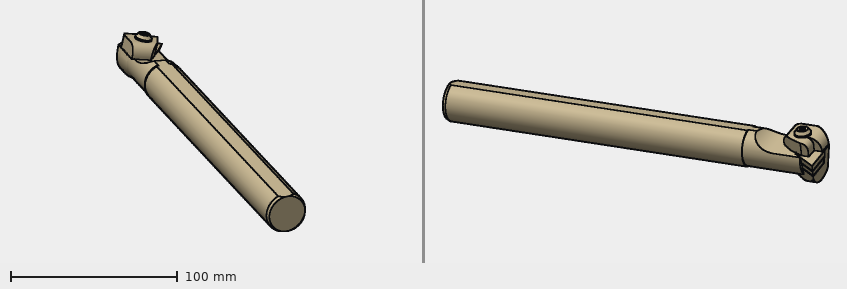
import cadquery as cq
import math


bar_length = 250.0
shank_radius = 12.5
shank_start = 50.0
flat_height = 11.5
neck_radius = 12.0
neck_start = 11.5
end_chamfer_length = 2.2
end_chamfer_depth = 1.0

head_radius = 15.2
head_center_y = 2.0
head_center_z = 0.5
head_full_end = 12.0
head_end = 20.0
relief_angle = 8.0
relief_depth = 22.5
front_land = 4.0
corner_start_x = 1.2
corner_start_y = -7.2
corner_end_x = 7.5
corner_end_y = -13.5
outline_margin = 50.0

tip_y = 18.7
tip_z = 0.37
seat_tilt = math.radians(13)
seat_end = 29.5
runout_radius = 18.7
cut_height = 30.0

insert_circle = 16.0
nose_angle = math.radians(55)
lead_angle = math.radians(2)
insert_thickness = 4.7
insert_edge = insert_circle / math.sin(nose_angle)

shim_thickness = 4.0
shim_setback = 0.2

clamp_height = 8.5
clamp_front = 1.5
clamp_front_radius = 8.0
finger_front = 6.7
finger_front_radius = 4.5
finger_end = 11.5
clamp_back = 27.5
clamp_back_radius = 7.0
clamp_corner_x = 10.0
clamp_side_y = -11.7
clamp_step_y = 2.0
finger_side_y = 9.5
clamp_shoulder_x = 20.5
clamp_shoulder_y = 5.7
clamp_back_y = 0.5

screw_x = 15.0
screw_y = -1.2
screw_head_diameter = 10.2
screw_top_diameter = 6.7
screw_rim_height = 1.0
screw_cone_height = 2.2
socket_diameter = 4.0
socket_depth = 1.7
lobe_radius = 0.5
lobe_count = 6

seat = cq.Plane(
    origin=(0, tip_y, tip_z),
    xDir=(1, 0, 0),
    normal=(0, math.sin(seat_tilt), math.cos(seat_tilt)),
)


def on_seat(y):
    """Distance along the tilted seat for a point of the seat at the given Y."""
    return (y - tip_y) / math.cos(seat_tilt)


def seat_section(offset):
    """Plane of a lengthwise section, shifted along the seat and facing its -Y side."""
    return cq.Plane(
        origin=seat.toWorldCoords((0, offset, 0)).toTuple(),
        xDir=(1, 0, 0),
        normal=(-seat.yDir).toTuple(),
    )


def edge_point(angle, length):
    """Point at a distance from the tip, at an angle from the seat's -Y direction."""
    return (length * math.sin(angle), -length * math.cos(angle))


def insert_prism(depth, setback=0.0):
    """Rhombus at the tip, drawn in by a setback and tapering down from the seat."""
    front = edge_point(lead_angle, insert_edge)
    side = edge_point(lead_angle + nose_angle, insert_edge)
    far = (front[0] + side[0], front[1] + side[1])
    rhombus = cq.Workplane(seat).polyline([(0, 0), front, far, side]).close()
    if setback:
        rhombus = rhombus.offset2D(-setback)
    return rhombus.extrude(-depth, taper=relief_angle)


def make_shank():
    profile = [
        (shank_start, 0),
        (shank_start, shank_radius),
        (bar_length - end_chamfer_length, shank_radius),
        (bar_length, shank_radius - end_chamfer_depth),
        (bar_length, 0),
    ]
    shank = cq.Workplane("XY").polyline(profile).close().revolve(360, (0, 0, 0), (1, 0, 0))
    between_flats = cq.Workplane("XY").box(2 * bar_length, 4 * shank_radius, 2 * flat_height)
    return shank.intersect(between_flats)


def make_neck():
    neck = cq.Workplane("YZ", origin=(neck_start, 0, 0)).circle(neck_radius)
    neck = neck.extrude(shank_start - neck_start)
    below_flat = cq.Workplane("XY", origin=(0, 0, flat_height))
    below_flat = below_flat.rect(2 * bar_length, 4 * shank_radius).extrude(-4 * shank_radius)
    return neck.intersect(below_flat)


def make_head():
    head = cq.Workplane("YZ").center(head_center_y, head_center_z).circle(head_radius)
    head = head.extrude(head_full_end)
    blend = (
        cq.Workplane("YZ", origin=(head_full_end, 0, 0))
        .center(head_center_y, head_center_z)
        .circle(head_radius)
        .workplane(offset=head_end - head_full_end)
        .center(-head_center_y, -head_center_z)
        .circle(neck_radius)
        .loft(ruled=True)
    )
    side_angle = lead_angle + nose_angle
    outline = [
        (0, 0),
        edge_point(lead_angle, insert_edge + front_land),
        (corner_start_x, on_seat(corner_start_y)),
        (corner_end_x, on_seat(corner_end_y)),
        (corner_end_x + outline_margin, on_seat(corner_end_y - outline_margin)),
        edge_point(side_angle, 2 * outline_margin),
    ]
    relief = cq.Workplane(seat).polyline(outline).close().extrude(-relief_depth, taper=relief_angle)
    return head.union(blend).intersect(relief)


def make_seat_cut():
    """Space above the seat, with a curved runout rising into the bar."""
    cut = (
        cq.Workplane(seat_section(outline_margin))
        .moveTo(-outline_margin, 0)
        .lineTo(seat_end, 0)
        .radiusArc((seat_end + runout_radius, runout_radius), -runout_radius)
        .lineTo(seat_end + runout_radius, cut_height)
        .lineTo(-outline_margin, cut_height)
        .close()
    )
    return cut.extrude(3 * outline_margin)


def clamp_block(front, front_radius, side_low, side_high):
    """Lengthwise block with a rounded front and back, between two sides on the seat."""
    back_round_start = clamp_height - clamp_back_radius
    profile = (
        cq.Workplane(seat_section(on_seat(side_high)))
        .moveTo(front, 0)
        .lineTo(front, clamp_height - front_radius)
        .radiusArc((front + front_radius, clamp_height), front_radius)
        .lineTo(clamp_back - clamp_back_radius, clamp_height)
        .radiusArc((clamp_back, back_round_start), clamp_back_radius)
        .lineTo(clamp_back, 0)
        .close()
    )
    return profile.extrude(on_seat(side_high) - on_seat(side_low))


def make_clamp():
    body = clamp_block(clamp_front, clamp_front_radius, clamp_side_y, clamp_step_y)
    finger = clamp_block(finger_front, finger_front_radius, clamp_step_y, finger_side_y)
    outline = [
        (clamp_front, corner_start_y),
        (clamp_front, finger_side_y),
        (finger_end, finger_side_y),
        (clamp_shoulder_x, clamp_shoulder_y),
        (clamp_back, clamp_back_y),
        (clamp_back, clamp_side_y),
        (clamp_corner_x, clamp_side_y),
    ]
    outline = [(x, on_seat(y)) for x, y in outline]
    plan = cq.Workplane(seat).polyline(outline).close().extrude(clamp_height)
    return body.union(finger).intersect(plan)


def seat_workplane(height):
    """Workplane parallel to the seat, centred on the screw axis."""
    return cq.Workplane(seat).workplane(offset=height).center(screw_x, on_seat(screw_y))


def make_screw_head():
    rim = seat_workplane(clamp_height).circle(screw_head_diameter / 2).extrude(screw_rim_height)
    cone = (
        seat_workplane(clamp_height + screw_rim_height)
        .circle(screw_head_diameter / 2)
        .workplane(offset=screw_cone_height)
        .circle(screw_top_diameter / 2)
        .loft(ruled=True)
    )
    return rim.union(cone)


def make_socket():
    """Six-lobed socket in the screw head."""
    lobe_circle = socket_diameter / 2 - lobe_radius
    top = clamp_height + screw_rim_height + screw_cone_height
    core = seat_workplane(top).circle(lobe_circle).extrude(-socket_depth)
    lobes = seat_workplane(top).polarArray(lobe_circle, 0, 360, lobe_count)
    return core.union(lobes.circle(lobe_radius).extrude(-socket_depth))


insert = insert_prism(insert_thickness)
seat_pocket = insert_prism(insert_thickness + shim_thickness)
shim = insert_prism(insert_thickness + shim_thickness, shim_setback)


holder = make_head().union(make_neck()).union(make_shank()).cut(make_seat_cut())
holder = holder.cut(seat_pocket).union(shim.cut(insert))
holder = holder.union(make_clamp()).union(make_screw_head())
holder = holder.cut(make_socket()).cut(insert)

result = cq.Compound.makeCompound([holder.val(), insert.val()])